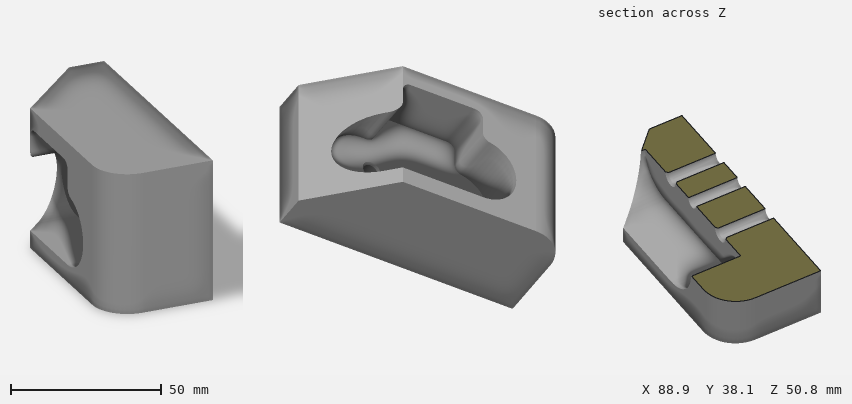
import cadquery as cq

length = 88.9
depth = 38.1
height = 50.8
chamfer = height / 2
front_round = height / 4

pocket_depth = depth / 2
slot_radius = height / 4
slot_left = 20.6
slot_right = 56.0
slot_z = 19.0
lobe_left = chamfer
lobe_right = slot_right
lobe_top = 43.7
corner_radius = 3.2

screw_diameter = 5.2
countersink_diameter = 6.7
countersink_angle = 90
screw_spacing = 31.7
center_hole_diameter = 4.9
center_hole_x = 38.05


def make_block():
    block = cq.Workplane("XY").box(length, depth, height, centered=False)
    block = block.edges("|Z and <X and <Y").chamfer(chamfer)
    return block.edges("|Z and >X and <Y").fillet(front_round)


def make_pocket():
    slot_middle = (slot_left + slot_right) / 2
    slot_length = slot_right - slot_left + 2 * slot_radius
    slot = (
        cq.Workplane("XZ")
        .center(slot_middle, slot_z)
        .slot2D(slot_length, 2 * slot_radius)
        .extrude(-pocket_depth)
    )
    lobe = cq.Workplane("XY").box(
        lobe_right - lobe_left, pocket_depth, lobe_top - slot_z, centered=False
    ).translate((lobe_left, 0, slot_z))
    pocket = slot.union(lobe)

    margin = 0.9
    lobe_edges = cq.selectors.BoxSelector(
        (lobe_left - margin, -margin, slot_z + slot_radius / 2),
        (lobe_right + margin, pocket_depth + margin, lobe_top + margin),
    )
    return pocket.edges("|Y").edges(lobe_edges).fillet(corner_radius)


def drill_floor(body):
    floor = cq.Workplane("XZ", origin=(0, pocket_depth, 0))
    screw_points = [(slot_right - screw_spacing, slot_z), (slot_right, slot_z)]
    body = (
        body.copyWorkplane(floor)
        .pushPoints(screw_points)
        .cskHole(screw_diameter, countersink_diameter, countersink_angle)
    )
    return (
        body.copyWorkplane(floor)
        .pushPoints([(center_hole_x, slot_z)])
        .hole(center_hole_diameter)
    )


result = drill_floor(make_block().cut(make_pocket()))